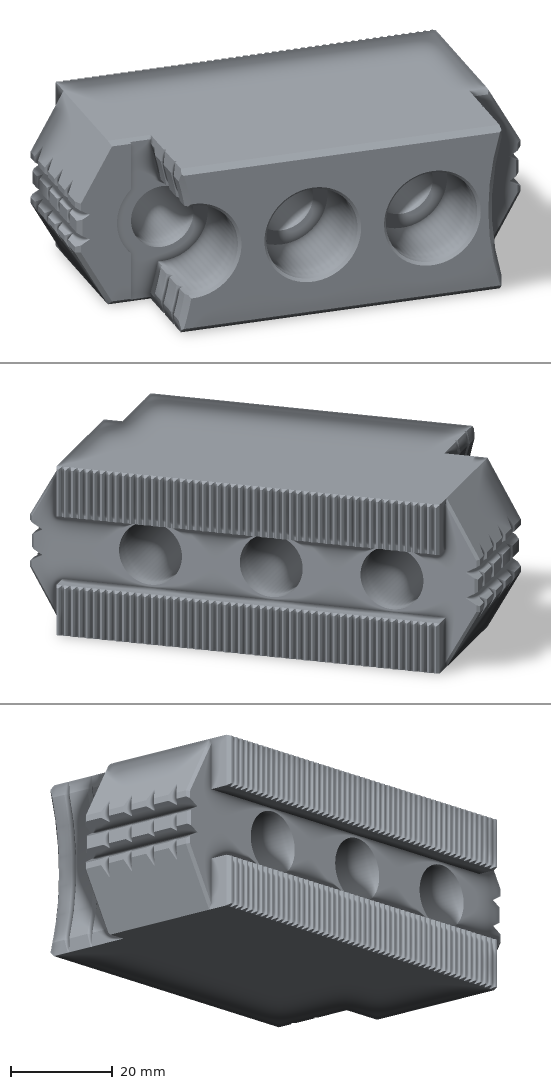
import cadquery as cq
import math

overall_x = 51.0
overall_y = 92.8
overall_z = 35.0
half_length = overall_y / 2
half_height = overall_z / 2

rail_half_length = 39.55
rail_height = 10.4
rail_depth = 5.0
serration_count = 53
serration_span = 78.0
serration_pitch = serration_span / (serration_count - 1)
serration_depth = 1.1
serration_root = 0.3
serration_crest = 0.4
serration_end_bevel = 0.325

body_front_x = 32.9
nose_half_height = 5.5
body_back_chamfer = 0.6
body_front_chamfer = 0.9
shoulder_chamfer = 1.3

nose_groove_spacing = 5.3
nose_groove_z = nose_groove_spacing / 2
nose_groove_depth = 2.8
nose_groove_half_width = 1.6
middle_tooth_drop = 0.4
nose_notch_first_x = 9.1
nose_notch_pitch = 5.9
nose_notch_count = 4
nose_notch_depth = 1.4
nose_notch_half_width = 1.0

tongue_ends = {-1: 31.1, 1: 36.2}
grip_radius = 54.8
grip_half_height = 14.9
grip_edge_setback = 0.5
tongue_chamfer = 1.1
tongue_relief_end_x = 35.0
tongue_relief_depth = 0.51
tongue_relief_slope = 0.7
tongue_notch_xs = (40.0, 46.05)
tongue_notch_depths = {-1: 0.9, 1: 0.65}
floor_relief_depth = 0.3
floor_relief_width = 4.0

hole_diameter = 13.0
counterbore_diameter = 19.0
counterbore_mouth_chamfer = 0.6
outer_hole_spacing = 49.9
hole_pitch = outer_hole_spacing / 2
middle_hole_y = -3.5

floor_x = body_front_x - floor_relief_depth
overlap = 0.9


def prism_along_x(points, x_start, x_end):
    """Extrude a closed (y, z) polygon between two X positions."""
    return cq.Workplane("YZ", origin=(x_start, 0, 0)).polyline(points).close().extrude(x_end - x_start)


def prism_along_y(points, y_start, y_end):
    """Extrude a closed (x, z) polygon between two Y positions."""
    return cq.Workplane("XZ", origin=(0, y_start, 0)).polyline(points).close().extrude(y_start - y_end)


def prism_along_z(points):
    """Extrude a closed (x, y) polygon through the full height."""
    return cq.Workplane("XY").polyline(points).close().extrude(half_height + overlap, both=True)


def v_points(x, tip_y, half_width, depth, side):
    """V outline with its apex at depth below tip_y, opened past the surface at the same angle."""
    slope = half_width / depth
    mouth = half_width + overlap * slope
    return [
        (x, side * (tip_y - depth)),
        (x - mouth, side * (tip_y + overlap)),
        (x + mouth, side * (tip_y + overlap)),
    ]


def make_body():
    outline = [
        (-half_length, -nose_half_height),
        (-rail_half_length, -half_height),
        (rail_half_length, -half_height),
        (half_length, -nose_half_height),
        (half_length, nose_half_height),
        (rail_half_length, half_height),
        (-rail_half_length, half_height),
        (-half_length, nose_half_height),
    ]
    body = prism_along_x(outline, rail_depth, body_front_x)
    body = body.faces(">X").chamfer(body_front_chamfer)
    return body.faces("<X").chamfer(body_back_chamfer)


def nose_cuts(side):
    """Two grooves along X, a lowered middle tooth and vertical V notches."""
    mouth = nose_groove_half_width * (1 + overlap / nose_groove_depth)
    apex_y = side * (half_length - nose_groove_depth)
    mouth_y = side * (half_length + overlap)
    middle_y = half_length - middle_tooth_drop
    middle_outline = [
        (rail_depth, side * (half_length + overlap)),
        (rail_depth, side * (middle_y - body_back_chamfer)),
        (rail_depth + body_back_chamfer, side * middle_y),
        (body_front_x - body_front_chamfer, side * middle_y),
        (body_front_x, side * (middle_y - body_front_chamfer)),
        (body_front_x, side * (half_length + overlap)),
    ]
    cuts = cq.Workplane("XY").polyline(middle_outline).close().extrude(nose_groove_z, both=True)
    for z in (-nose_groove_z, nose_groove_z):
        groove = [(apex_y, z), (mouth_y, z - mouth), (mouth_y, z + mouth)]
        cuts = cuts.union(prism_along_x(groove, 0, overall_x))
    for i in range(nose_notch_count):
        x = nose_notch_first_x + i * nose_notch_pitch
        cuts = cuts.union(
            prism_along_z(v_points(x, half_length, nose_notch_half_width, nose_notch_depth, side))
        )
    return cuts


def make_rails():
    """Two bars along Y whose back faces carry vertical serrations with bevelled ends."""
    inner_z = half_height - rail_height
    bevel = serration_end_bevel
    depth_end = rail_depth + body_back_chamfer
    flank = (serration_pitch - serration_root - serration_crest) / 2
    grooves = cq.Workplane("XY").workplane(offset=-half_height)
    for i in range(serration_count + 1):
        y = (i - serration_count / 2) * serration_pitch
        root = serration_root / 2
        grooves = grooves.polyline(
            [
                (0, y - root - flank),
                (serration_depth, y - root),
                (serration_depth, y + root),
                (0, y + root + flank),
            ]
        ).close()
    grooves = grooves.extrude(2 * half_height)
    section = [
        (0, inner_z + bevel),
        (serration_depth, inner_z),
        (depth_end, inner_z),
        (depth_end, half_height),
        (serration_depth, half_height),
        (0, half_height - bevel),
    ]
    upper = prism_along_y(section, -rail_half_length, rail_half_length)
    lower = upper.mirror("XY")
    return upper.union(lower).cut(grooves)


def grip_cutter(side):
    """Solid turned about an X axis that leaves the concave grip, its root relief, notches and tip bevel."""
    arc_centre = tongue_ends[side] + math.sqrt(grip_radius**2 - grip_half_height**2)
    root_x = floor_x - overlap
    depth = tongue_notch_depths[side]
    profile = [
        (root_x, 0),
        (root_x, grip_radius + tongue_relief_depth),
        (tongue_relief_end_x, grip_radius + tongue_relief_depth),
        (tongue_relief_end_x + tongue_relief_slope, grip_radius),
    ]
    for x in tongue_notch_xs:
        profile += [(x - depth, grip_radius), (x, grip_radius + depth), (x + depth, grip_radius)]
    profile += [
        (overall_x - tongue_chamfer, grip_radius),
        (overall_x, grip_radius + tongue_chamfer),
        (overall_x, 0),
    ]
    turned = cq.Workplane("XY").polyline(profile).close().revolve(360, (0, 0, 0), (1, 0, 0))
    return turned.translate((0, side * arc_centre, 0))


def make_tongue():
    """Block with set-back edges; concave, notched grips at both ends and a bevelled tip."""
    top_left = grip_edge_setback - tongue_ends[-1]
    top_right = tongue_ends[1] - grip_edge_setback
    outline = [
        (top_left, -half_height),
        (top_right, -half_height),
        (tongue_ends[1], -grip_half_height),
        (tongue_ends[1], grip_half_height),
        (top_right, half_height),
        (top_left, half_height),
        (-tongue_ends[-1], grip_half_height),
        (-tongue_ends[-1], -grip_half_height),
    ]
    tongue = prism_along_x(outline, floor_x - overlap, overall_x)
    for side in (-1, 1):
        tongue = tongue.cut(grip_cutter(side))
        depth = tongue_notch_depths[side]
        for x in tongue_notch_xs:
            tongue = tongue.cut(prism_along_z(v_points(x, tongue_ends[side], depth, depth, side)))
        corner = [
            (overall_x, side * half_height),
            (overall_x - tongue_chamfer, side * half_height),
            (overall_x, side * (half_height - tongue_chamfer)),
        ]
        tongue = tongue.cut(prism_along_y(corner, -half_length, half_length))
    return tongue


def floor_relief(side):
    """Shallow undercut of the step floor beside the tongue."""
    inner_y = tongue_ends[side] - floor_relief_width
    outer_y = tongue_ends[side] + floor_relief_width
    outline = [
        (floor_x, side * inner_y),
        (overall_x, side * inner_y),
        (overall_x, side * outer_y),
        (floor_x, side * outer_y),
    ]
    return prism_along_z(outline)


def shoulder_bevel(z_side):
    """Larger bevel on the long shoulder edges at the +Y end of the body."""
    corner = [
        (body_front_x, z_side * half_height),
        (body_front_x - shoulder_chamfer, z_side * half_height),
        (body_front_x, z_side * (half_height - shoulder_chamfer)),
    ]
    return prism_along_y(corner, tongue_ends[1] - grip_edge_setback, half_length)


def screw_holes():
    """Through holes along X with counterbores, chamfered at the mouth, from the step floor outwards."""
    centres = [(middle_hole_y + i * hole_pitch, 0) for i in (-1, 0, 1)]
    radius = counterbore_diameter / 2
    mouth = counterbore_mouth_chamfer
    bores = cq.Workplane("YZ").pushPoints(centres).circle(hole_diameter / 2).extrude(overall_x)
    floor_plane = cq.Workplane("YZ", origin=(floor_x, 0, 0))
    counterbores = floor_plane.pushPoints(centres).circle(radius).extrude(overall_x - floor_x)
    for y, z in centres:
        cone = cq.Solid.makeCone(
            radius, radius + mouth, mouth, cq.Vector(overall_x - mouth, y, z), cq.Vector(1, 0, 0)
        )
        counterbores = counterbores.union(cq.Workplane(cone))
    return bores.union(counterbores)


body = make_body()
for side in (-1, 1):
    body = body.cut(nose_cuts(side)).cut(floor_relief(side)).cut(shoulder_bevel(side))

result = body.union(make_rails()).union(make_tongue()).cut(screw_holes())